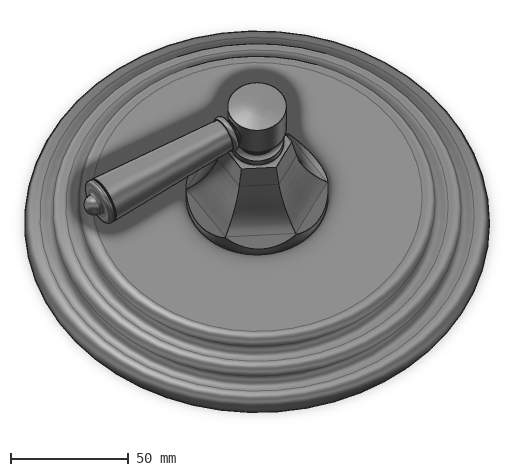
import cadquery as cq
import math

PLATE_RADIUS = 98.5
RIM_ROUND = 6.5
OGEE_COUNT = 2
OGEE_HALF_RUN = 5.5
OGEE_HALF_RISE = 3.1
PLATE_TOP = RIM_ROUND + 2 * OGEE_COUNT * OGEE_HALF_RISE

HUB_BASE_RADIUS = 30.1
HUB_TOP = 58.0
HUB_TOP_FLAT = 12.8
TAPER_BOTTOM = 48.0
TAPER_BOTTOM_FLAT = 14.5
FLARE_BOTTOM = 27.4
FLARE_BOTTOM_FLAT = 25.8
HEX_SIDES = 6

COLLAR_RADIUS = 11.2
COLLAR_TOP = 61.0
STEM_RADIUS = 8.0
HEAD_RADIUS = 12.4
HEAD_BOTTOM = 69.3
HEAD_EDGE = 85.0
HEAD_TOP = 87.2

GRIP_END_RADIUS = 10.0
LEVER_HEIGHT = HEAD_TOP - GRIP_END_RADIUS
NECK_RADIUS = 4.7
NECK_END = 12.8
NECK_FLARE_RADIUS = 5.7
BEAD_START = 14.4
BEAD_END = 17.0
BEAD_EDGE_RADIUS = 7.5
BEAD_RADIUS = 8.0
GRIP_START_RADIUS = 7.0
GRIP_END = 78.0
GROOVE_WIDTH = 0.5
GROOVE_DEPTH = 0.4
CAP_END = 81.1
CAP_ROUND = 1.4
FINIAL_FOOT_RADIUS = 6.3
FINIAL_FOOT_LENGTH = 1.2
FINIAL_RADIUS = 4.5


def make_plate():
    profile = (
        cq.Workplane("XZ")
        .lineTo(PLATE_RADIUS, 0)
        .radiusArc((PLATE_RADIUS - RIM_ROUND, RIM_ROUND), -RIM_ROUND)
    )
    for _ in range(OGEE_COUNT):
        profile = profile.tangentArcPoint((-OGEE_HALF_RUN, OGEE_HALF_RISE))
        profile = profile.tangentArcPoint((-OGEE_HALF_RUN, OGEE_HALF_RISE))
    return profile.lineTo(0, PLATE_TOP).close().revolve(360, (0, 0, 0), (0, 1, 0))


def make_hub():
    taper_angle = math.atan2(TAPER_BOTTOM_FLAT - HUB_TOP_FLAT, HUB_TOP - TAPER_BOTTOM)
    flare_run = FLARE_BOTTOM_FLAT - TAPER_BOTTOM_FLAT
    chord_angle = math.atan2(flare_run, TAPER_BOTTOM - FLARE_BOTTOM)
    skirt_angle = 2 * chord_angle - taper_angle

    skirt_flat = FLARE_BOTTOM_FLAT + (FLARE_BOTTOM - PLATE_TOP) * math.tan(skirt_angle)

    half_section = (
        cq.Workplane("XZ")
        .moveTo(0, HUB_TOP)
        .lineTo(HUB_TOP_FLAT, HUB_TOP)
        .lineTo(TAPER_BOTTOM_FLAT, TAPER_BOTTOM)
        .tangentArcPoint((flare_run, FLARE_BOTTOM - TAPER_BOTTOM))
        .lineTo(skirt_flat, PLATE_TOP)
        .lineTo(0, PLATE_TOP)
        .close()
        .extrude(HUB_BASE_RADIUS, both=True)
    )
    flat_pair = half_section.union(half_section.mirror("YZ"))

    hub_height = HUB_TOP - PLATE_TOP
    hub = cq.Workplane("XY", origin=(0, 0, PLATE_TOP)).circle(HUB_BASE_RADIUS).extrude(hub_height)
    for pair in range(HEX_SIDES // 2):
        flat_direction = 90 + pair * 360 / HEX_SIDES
        hub = hub.intersect(flat_pair.rotate((0, 0, 0), (0, 0, 1), flat_direction))
    return hub


def make_head():
    dome_rise = HEAD_TOP - HEAD_EDGE
    dome_radius = (HEAD_RADIUS**2 + dome_rise**2) / (2 * dome_rise)
    return (
        cq.Workplane("XZ")
        .moveTo(0, HUB_TOP)
        .lineTo(COLLAR_RADIUS, HUB_TOP)
        .lineTo(COLLAR_RADIUS, COLLAR_TOP)
        .lineTo(STEM_RADIUS, COLLAR_TOP)
        .lineTo(STEM_RADIUS, HEAD_BOTTOM)
        .lineTo(HEAD_RADIUS, HEAD_BOTTOM)
        .lineTo(HEAD_RADIUS, HEAD_EDGE)
        .radiusArc((0, HEAD_TOP), -dome_radius)
        .close()
        .revolve(360, (0, 0, 0), (0, 1, 0))
    )


def make_lever():
    groove_end = GRIP_END + GROOVE_WIDTH
    groove_radius = GRIP_END_RADIUS - GROOVE_DEPTH
    finial_start = CAP_END + FINIAL_FOOT_LENGTH
    turned = (
        cq.Workplane("XY")
        .lineTo(NECK_RADIUS, 0)
        .lineTo(NECK_RADIUS, NECK_END)
        .lineTo(NECK_FLARE_RADIUS, BEAD_START)
        .lineTo(BEAD_EDGE_RADIUS, BEAD_START)
        .threePointArc((BEAD_RADIUS, (BEAD_START + BEAD_END) / 2), (BEAD_EDGE_RADIUS, BEAD_END))
        .lineTo(GRIP_START_RADIUS, BEAD_END)
        .lineTo(GRIP_END_RADIUS, GRIP_END)
        .lineTo(groove_radius, GRIP_END)
        .lineTo(groove_radius, groove_end)
        .lineTo(GRIP_END_RADIUS, groove_end)
        .lineTo(GRIP_END_RADIUS, CAP_END - CAP_ROUND)
        .radiusArc((GRIP_END_RADIUS - CAP_ROUND, CAP_END), -CAP_ROUND)
        .lineTo(FINIAL_FOOT_RADIUS, CAP_END)
        .radiusArc((FINIAL_RADIUS, finial_start), FINIAL_FOOT_RADIUS - FINIAL_RADIUS)
        .radiusArc((0, finial_start + FINIAL_RADIUS), -FINIAL_RADIUS)
        .close()
        .revolve(360, (0, 0, 0), (0, 1, 0))
    )
    return turned.rotate((0, 0, 0), (0, 0, 1), 180).translate((0, 0, LEVER_HEIGHT))


result = make_plate().union(make_hub()).union(make_head()).union(make_lever())